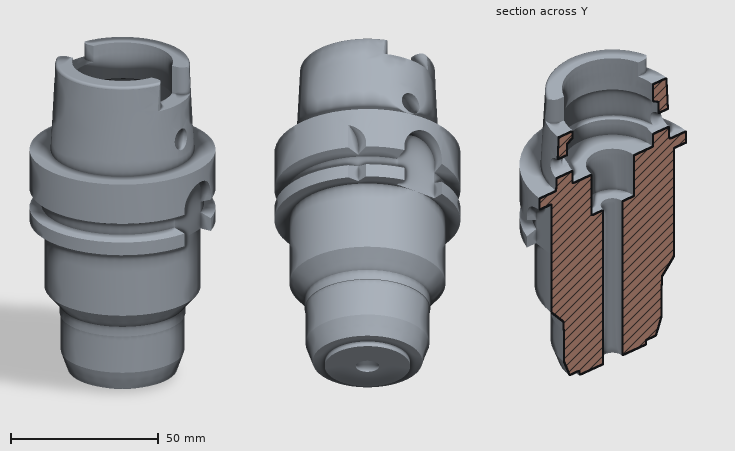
import cadquery as cq
import math

total_height = 114.0
flange_top = 82.0
rim_round = 1.0
upper_flange_bottom = 67.6
groove_top = 65.9
groove_bottom = 62.0
lower_flange_top = 60.8
flange_bottom = 56.1
body_cone_top = 31.8
body_cone_bottom = 25.6
collar_bottom = 22.1
nose_cone_top = 8.7
nose_cone_bottom = 1.8

flange_diameter = 63.0
flange_radius = flange_diameter / 2
groove_radius = 27.6
body_radius = 26.5
collar_radius = 21.3
nose_radius = 21.0
nose_end_radius = 18.6
tip_radius = 14.5
shank_base_radius = 24.4
shank_top_radius = 22.8

cross_hole_radius = 3.8
cross_hole_height = 91.0

bore_radius = 17.1
undercut_radius = 19.5
undercut_top = 100.9
undercut_bottom = 88.4
bore_floor = flange_top
undercut_cone_angle = 30.0
socket_radius = 9.0
socket_depth = 17.1
through_radius = 4.0

notch_half_width = 6.3
notch_face_x = 21.0
notch_corner_radius = 3.0
notch_depth_left = 5.9
notch_depth_right = 10.0

slot_radius = 8.1
slot_arc_height = 69.0
key_floor_x = body_radius
side_slot_floor_x = 20.2
side_slot_edge_y = 19.8

clearance = 5.7


def revolve_profile(points):
    """Turn a closed (radius, height) outline around Z."""
    return cq.Workplane("XZ").polyline(points).close().revolve(360, (0, 0), (0, 1))


def make_body():
    body = revolve_profile([
        (0, 0),
        (tip_radius, 0),
        (tip_radius, nose_cone_bottom),
        (nose_end_radius, nose_cone_bottom),
        (nose_radius, nose_cone_top),
        (nose_radius, collar_bottom),
        (collar_radius, collar_bottom),
        (collar_radius, body_cone_bottom),
        (body_radius, body_cone_top),
        (body_radius, flange_bottom),
        (flange_radius, flange_bottom),
        (flange_radius, lower_flange_top),
        (groove_radius, groove_bottom),
        (groove_radius, groove_top),
        (flange_radius, upper_flange_bottom),
        (flange_radius, flange_top),
        (shank_base_radius, flange_top),
        (shank_top_radius, total_height),
        (0, total_height),
    ])
    return body.faces(">Z").edges().fillet(rim_round)


def make_bore():
    cone_height = (undercut_radius - bore_radius) * math.tan(math.radians(undercut_cone_angle))
    socket_floor = bore_floor - socket_depth
    return revolve_profile([
        (0, -clearance),
        (through_radius, -clearance),
        (through_radius, socket_floor),
        (socket_radius, socket_floor),
        (socket_radius, bore_floor),
        (bore_radius, bore_floor),
        (bore_radius, undercut_bottom),
        (undercut_radius, undercut_bottom),
        (undercut_radius, undercut_top - cone_height),
        (bore_radius, undercut_top),
        (bore_radius, total_height + clearance),
        (0, total_height + clearance),
    ])


def make_drive_notch(side, depth):
    """Rim notch on the side = -1 or +1 of X, widening outward around rounded corners."""
    corner_x = notch_face_x - notch_corner_radius
    corner_y = notch_half_width + notch_corner_radius
    arc_offset = notch_corner_radius * math.sqrt(0.5)
    arc_x = corner_x + arc_offset
    arc_y = corner_y - arc_offset
    outer_x = shank_base_radius + clearance
    outer_y = corner_y + clearance
    half = (
        cq.Workplane("XY", origin=(0, 0, total_height - depth))
        .lineTo(0, notch_half_width)
        .lineTo(side * corner_x, notch_half_width)
        .threePointArc((side * arc_x, arc_y), (side * notch_face_x, corner_y))
        .lineTo(side * notch_face_x, outer_y)
        .lineTo(side * outer_x, outer_y)
        .lineTo(side * outer_x, 0)
        .close()
        .extrude(depth + clearance)
    )
    return half.union(half.mirror("XZ"))


def make_flange_slot(side, floor_x, center_y):
    """Round-topped slot open at the flange bottom, with a flat floor facing along X."""
    left = center_y - slot_radius
    right = center_y + slot_radius
    return (
        cq.Workplane("YZ", origin=(side * floor_x, 0, 0))
        .moveTo(left, flange_bottom)
        .lineTo(left, slot_arc_height)
        .threePointArc((center_y, slot_arc_height + slot_radius), (right, slot_arc_height))
        .lineTo(right, flange_bottom)
        .close()
        .extrude(side * (flange_radius - floor_x + clearance))
    )


result = make_body().cut(make_bore())

for side, depth in ((-1, notch_depth_left), (1, notch_depth_right)):
    result = result.cut(make_drive_notch(side, depth))
    result = result.cut(make_flange_slot(side, key_floor_x, 0))

result = result.cut(make_flange_slot(-1, side_slot_floor_x, side_slot_edge_y + slot_radius))

cross_hole = (
    cq.Workplane("YZ")
    .center(0, cross_hole_height)
    .circle(cross_hole_radius)
    .extrude(shank_base_radius + clearance, both=True)
)
result = result.cut(cross_hole)